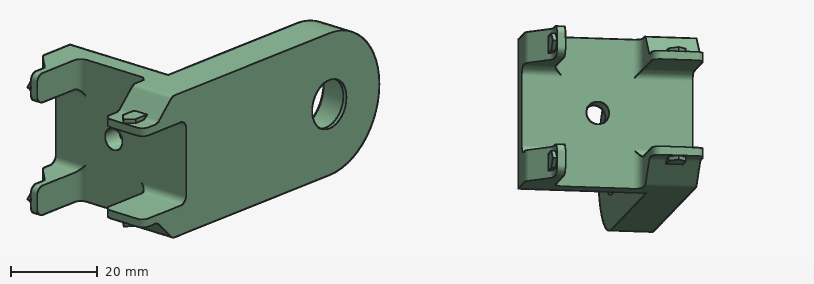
import cadquery as cq

width = 40.0
length = 82.5
height = 35.0
half_height = height / 2

arm_thickness = 10.0
arm_x = width - arm_thickness
eye_y = length - half_height
bore_diameter = 16.5
bore_depth = 9.0
bore_chamfer = 1.0
through_diameter = 12.0

leg_length = 15.0
base_thickness = 5.0
base_back = leg_length + base_thickness
base_hole_diameter = 5.3
leg_height = 7.3
left_leg_width = 7.5
right_leg_width = 12.0
channel_radius = 2.0
channel_height = height - 2 * leg_height
channel_width = width - left_leg_width - right_leg_width

foot_thickness = 2.0
foot_length = 4.95
bend_radius = 2.0
foot_corner_radius = 2.0

pad_height = 1.0
pad_width = 4.0
pad_length = 6.1
pad_point = pad_width / 2
left_pad_inset = 3.7

pocket_gap = 15.0
pocket_height = 20.0
pocket_depth = 5.0
pocket_end = eye_y - pocket_gap


def block(x0, x1, y0, y1, z0, z1):
    """Box between two opposite corners."""
    return cq.Workplane("XY").box(x1 - x0, y1 - y0, z1 - z0, centered=False).translate((x0, y0, z0))


def make_arm():
    """Arm plate with an eye: a chamfered blind bore and a smaller through hole."""
    arm = block(arm_x, width, 0, eye_y, -half_height, half_height)
    eye = cq.Workplane("YZ", origin=(arm_x, eye_y, 0))
    arm = arm.union(eye.circle(half_height).extrude(arm_thickness))
    arm = arm.cut(eye.circle(bore_diameter / 2).extrude(bore_depth))
    arm = arm.cut(eye.circle(through_diameter / 2).extrude(arm_thickness))
    mouth_radius = bore_diameter / 2 + bore_chamfer
    mouth = cq.Solid.makeCone(
        mouth_radius, bore_diameter / 2, bore_chamfer, cq.Vector(arm_x, eye_y, 0), cq.Vector(1, 0, 0)
    )
    return arm.cut(cq.Workplane(obj=mouth))


def make_channels():
    """Crossing channels with rounded floor edges that leave four corner legs."""
    across = block(0, width, -leg_length, leg_length, -channel_height / 2, channel_height / 2)
    across = across.edges("|X and >Y").fillet(channel_radius)
    upright = block(
        left_leg_width, left_leg_width + channel_width, -leg_length, leg_length, -half_height, half_height
    )
    upright = upright.edges("|Z and >Y").fillet(channel_radius)
    return across.union(upright)


def make_relief(leg_depth, span):
    """Cutter that thins a leg to its foot.

    Outer leg face at local X = 0, tip at local Y = 0, spanning local Z = 0 to span.
    """
    foot_face = leg_depth - foot_thickness
    slope_end = foot_length + foot_face
    relief = (
        cq.Workplane("XY")
        .moveTo(0, slope_end)
        .lineTo(foot_face, foot_length)
        .lineTo(foot_face, 0)
        .lineTo(-leg_depth, 0)
        .lineTo(-leg_depth, 2 * slope_end)
        .lineTo(0, 2 * slope_end)
        .close()
        .extrude(span)
    )
    for bend in ((foot_face, foot_length, span / 2), (0, slope_end, span / 2)):
        relief = relief.edges(cq.selectors.NearestToPointSelector(bend)).fillet(bend_radius)
    return relief


def make_corner_trim(leg_depth, span):
    """Cutter that rounds both tip corners of a foot, in the same local frame as the relief."""
    trim = block(0, leg_depth, 0, foot_corner_radius, 0, span)
    rounded = block(0, leg_depth, 0, 2 * foot_length, 0, span).edges("|X and <Y").fillet(foot_corner_radius)
    return trim.cut(rounded)


def make_pad(leg_depth, center):
    """Pointed pad on the outer face of a foot, in the same local frame as the relief."""
    foot_face = leg_depth - foot_thickness
    half = pad_width / 2
    return (
        cq.Workplane("YZ", origin=(foot_face - pad_height, 0, center))
        .polyline([(0, 0), (pad_point, half), (pad_length, half), (pad_length, -half), (pad_point, -half)])
        .close()
        .extrude(pad_height + foot_thickness / 2)
    )


def place_left(shape):
    """Move a local leg shape to the upper left leg, its outer face toward -X."""
    return shape.translate((0, 0, half_height - leg_height))


def place_right(shape):
    """Move a local leg shape to the upper right leg, its outer face toward +Z."""
    turned = shape.rotate((0, 0, 0), (0, 1, 0), 90)
    return turned.translate((width - right_leg_width, 0, half_height))


body = make_arm().union(block(0, width, 0, base_back, -half_height, half_height))
body = body.cut(make_channels())
pocket = block(
    arm_x, arm_x + pocket_depth, base_back, pocket_end, -pocket_height / 2, pocket_height / 2
)
body = body.cut(pocket)

hole_x = left_leg_width + channel_width / 2
base_hole = cq.Workplane("XZ", origin=(hole_x, base_back, 0)).circle(base_hole_diameter / 2)
body = body.cut(base_hole.extrude(base_thickness))

left_cutter = place_left(
    make_relief(left_leg_width, leg_height).union(make_corner_trim(left_leg_width, leg_height))
)
right_cutter = place_right(
    make_relief(leg_height, right_leg_width).union(make_corner_trim(leg_height, right_leg_width))
)
left_pad = place_left(make_pad(left_leg_width, leg_height - left_pad_inset))
right_pad = place_right(make_pad(leg_height, right_leg_width / 2))

for cutter in (left_cutter, right_cutter):
    body = body.cut(cutter).cut(cutter.mirror("XY"))
for pad in (left_pad, right_pad):
    body = body.union(pad).union(pad.mirror("XY"))

result = body